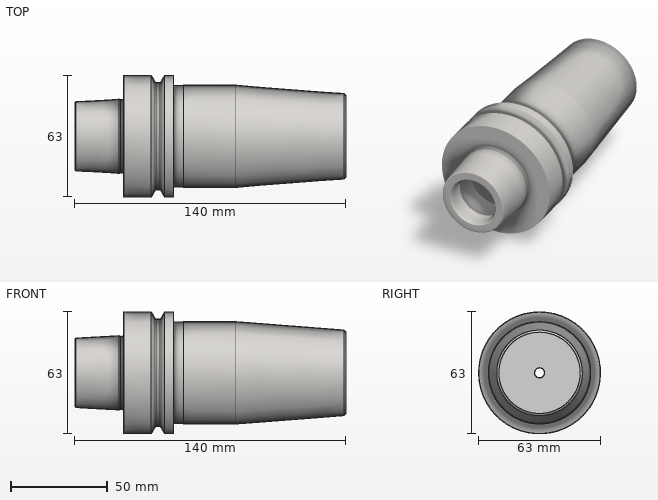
import cadquery as cq
import math


total_length = 140.0
flange_radius = 31.5
joint_x = 56.0

taper_end_radius = 17.9
taper_large_radius = 19.2
taper_end_x = 22.7
taper_edge_fillet = 0.8

neck_radius = 18.9
neck_start_x = 23.5
recess_outer_radius = 21.0
recess_depth = 0.3
neck_fillet = 0.8

flange_face_x = 25.0
flange_back_x = 51.0
groove_start_x = 39.3
groove_end_x = 46.3
groove_floor_radius = 27.7
groove_wall_angle = 30.0
groove_fillet = 1.0

collar_radius = 26.3

bore_radius = 12.9
bore_chamfer_width = 0.5
bore_chamfer_depth = 0.8
bore_lip_depth = 10.1
clamp_recess_radius = 15.0
clamp_recess_depth = 25.0

hole_radius = 2.5
countersink_radius = 6.3
countersink_angle = 60.0

chuck_radius = 26.5
chuck_cone_x = 82.9
chuck_tip_radius = 22.1
tip_chamfer = 1.1


def tan_degrees(angle):
    return math.tan(math.radians(angle))


def revolve_about_x(points):
    """Solid of revolution about the X axis from (x, radius) points."""
    return cq.Workplane("XZ").polyline(points).close().revolve(360, (0, 0, 0), (1, 0, 0))


def circle_at(x, radius):
    """Selector box that holds only the circular edges near one axial place and radius."""
    reach = radius + 0.01
    return cq.selectors.BoxSelector((x - 0.01, -reach, -reach), (x + 0.01, reach, reach), boundingbox=True)


def make_adapter_body():
    recess_floor_x = flange_face_x + recess_depth
    blank = revolve_about_x([
        (0, 0),
        (0, taper_end_radius),
        (taper_end_x, taper_large_radius),
        (neck_start_x, neck_radius),
        (recess_floor_x, neck_radius),
        (flange_face_x, recess_outer_radius),
        (flange_face_x, flange_radius),
        (flange_back_x, flange_radius),
        (flange_back_x, collar_radius),
        (joint_x, collar_radius),
        (joint_x, 0),
    ])
    blank = blank.edges(circle_at(0, taper_end_radius)).fillet(taper_edge_fillet)
    return blank.edges(circle_at(recess_floor_x, neck_radius)).fillet(neck_fillet)


def cut_flange_groove(body):
    wall_run = (flange_radius - groove_floor_radius) * tan_degrees(groove_wall_angle)
    floor_start_x = groove_start_x + wall_run
    floor_end_x = groove_end_x - wall_run
    groove = revolve_about_x([
        (groove_start_x, flange_radius),
        (floor_start_x, groove_floor_radius),
        (floor_end_x, groove_floor_radius),
        (groove_end_x, flange_radius),
    ])
    body = body.cut(groove)
    for x in (floor_start_x, floor_end_x):
        body = body.edges(circle_at(x, groove_floor_radius)).fillet(groove_fillet)
    return body


def make_clamping_bore():
    return revolve_about_x([
        (0, 0),
        (0, bore_radius + bore_chamfer_width),
        (bore_chamfer_depth, bore_radius),
        (bore_lip_depth, bore_radius),
        (bore_lip_depth, clamp_recess_radius),
        (clamp_recess_depth, clamp_recess_radius),
        (clamp_recess_depth, 0),
    ])


def make_coolant_hole():
    countersink_depth = (countersink_radius - hole_radius) / tan_degrees(countersink_angle)
    return revolve_about_x([
        (clamp_recess_depth, 0),
        (clamp_recess_depth, countersink_radius),
        (clamp_recess_depth + countersink_depth, hole_radius),
        (total_length, hole_radius),
        (total_length, 0),
    ])


def make_adapter():
    body = cut_flange_groove(make_adapter_body())
    return body.cut(make_clamping_bore()).cut(make_coolant_hole())


def make_chuck():
    body = revolve_about_x([
        (joint_x, 0),
        (joint_x, chuck_radius),
        (chuck_cone_x, chuck_radius),
        (total_length - tip_chamfer, chuck_tip_radius),
        (total_length, chuck_tip_radius - tip_chamfer),
        (total_length, 0),
    ])
    return body.cut(make_coolant_hole())


adapter = make_adapter()
chuck = make_chuck()

result = cq.Compound.makeCompound([adapter.val(), chuck.val()])